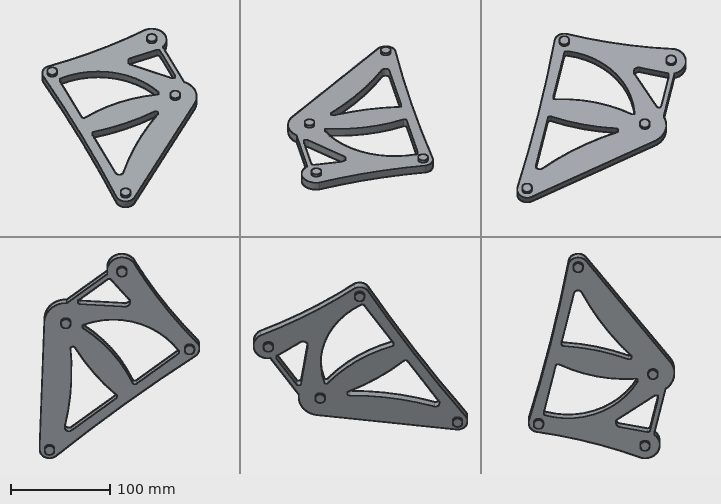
import cadquery as cq
import math

plate_thickness = 9.0
pin_diameter = 10.0
pin_length = 15.0

span = 180.0
left_height = 110.0
apex_x, apex_y = 80.0, 100.0
pin_centres = [(0, 0), (span, 0), (0, left_height), (apex_x, apex_y)]

foot_radius = 10.0
left_boss_radius = 15.0
apex_radius = 21.7
top_edge_y = 116.5
bottom_bow = 2.3
left_edge_mid_x = -9.5

window_floor_y = 2.7
triangle_top_y = 111.5
small_corner_radius = 2.5
triangle_bottom_radius = 5.0
middle_window_top_radius = 2.0
right_window_tip_radius = 4.0


def circle_point(centre, radius, angle):
    """Point on a circle at an angle in radians from +X."""
    return (centre[0] + radius * math.cos(angle), centre[1] + radius * math.sin(angle))


def extrude_plate(outline):
    return outline.close().extrude(plate_thickness / 2, both=True)


def round_corner(body, corner, radius):
    """Round the through-thickness edge of a body at a corner point."""
    return body.edges(cq.selectors.NearestToPointSelector((*corner, 0))).fillet(radius)


def make_blank():
    right_foot = (span, 0)
    left_boss = (0, left_height)
    apex = (apex_x, apex_y)

    centre_distance = math.hypot(span - apex_x, apex_y)
    slope_angle = math.atan2(-apex_y, span - apex_x)
    slope_normal = slope_angle + math.acos((apex_radius - foot_radius) / centre_distance)

    left_boss_end = math.asin((top_edge_y - left_height) / left_boss_radius)
    apex_start = math.pi - math.asin((top_edge_y - apex_y) / apex_radius)

    outline = (
        cq.Workplane("XY")
        .moveTo(0, -foot_radius)
        .threePointArc((span / 2, bottom_bow - foot_radius), (span, -foot_radius))
        .threePointArc(
            circle_point(right_foot, foot_radius, 0),
            circle_point(right_foot, foot_radius, slope_normal),
        )
        .lineTo(*circle_point(apex, apex_radius, slope_normal))
        .threePointArc(
            circle_point(apex, apex_radius, math.pi / 2),
            circle_point(apex, apex_radius, apex_start),
        )
        .lineTo(*circle_point(left_boss, left_boss_radius, left_boss_end))
        .threePointArc(
            circle_point(left_boss, left_boss_radius, math.pi / 2),
            (-left_boss_radius, left_height),
        )
        .threePointArc((left_edge_mid_x, left_height / 2), (-foot_radius, 0))
        .threePointArc(
            circle_point((0, 0), foot_radius, 1.25 * math.pi), (0, -foot_radius)
        )
    )
    return extrude_plate(outline)


def make_triangle_window():
    top_left = (14.8, triangle_top_y)
    top_right = (60.7, triangle_top_y)
    bottom = (13.7, 69.5)
    window = extrude_plate(cq.Workplane("XY").polyline([top_left, top_right, bottom]))
    window = round_corner(window, top_left, small_corner_radius)
    window = round_corner(window, top_right, small_corner_radius)
    return round_corner(window, bottom, triangle_bottom_radius)


def make_middle_window():
    bottom_left = (10.2, window_floor_y)
    bottom_right = (69.5, window_floor_y)
    top = (71.1, 88.0)
    right_side_mid = (64.0, 43.7)
    left_side_mid = (31.2, 64.4)
    window = extrude_plate(
        cq.Workplane("XY")
        .moveTo(*bottom_left)
        .lineTo(*bottom_right)
        .threePointArc(right_side_mid, top)
        .threePointArc(left_side_mid, bottom_left)
    )
    window = round_corner(window, bottom_left, small_corner_radius)
    window = round_corner(window, bottom_right, small_corner_radius)
    return round_corner(window, top, middle_window_top_radius)


def make_right_window():
    bottom_left = (89.4, window_floor_y)
    bottom_right = (161.7, window_floor_y)
    top = (87.7, 85.0)
    sloping_side_mid = (122.0, 38.5)
    left_side_mid = (92.5, 41.0)
    window = extrude_plate(
        cq.Workplane("XY")
        .moveTo(*bottom_left)
        .lineTo(*bottom_right)
        .threePointArc(sloping_side_mid, top)
        .threePointArc(left_side_mid, bottom_left)
    )
    window = round_corner(window, bottom_left, small_corner_radius)
    window = round_corner(window, bottom_right, right_window_tip_radius)
    return round_corner(window, top, small_corner_radius)


def make_pin(centre):
    return (
        cq.Workplane("XY").center(*centre).circle(pin_diameter / 2).extrude(pin_length / 2, both=True)
    )


pins = [make_pin(centre) for centre in pin_centres]

plate = make_blank()
for window in (make_triangle_window(), make_middle_window(), make_right_window()):
    plate = plate.cut(window)
for pin in pins:
    plate = plate.cut(pin)

result = cq.Compound.makeCompound([plate.val(), *[pin.val() for pin in pins]])